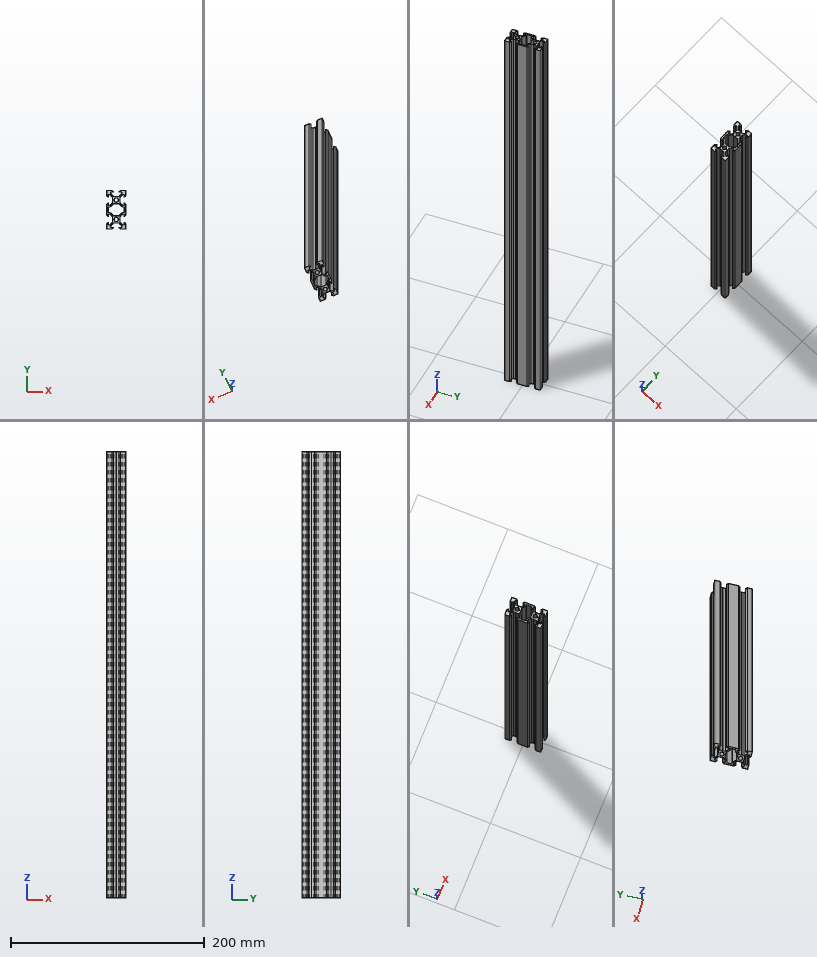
import cadquery as cq
import math

length = 460.0
cells_along_y = 2
cells_per_length = 23
cell = length / cells_per_length
half_cell = cell / 2
corner_radius = 0.5
bore_diameter = 4.2

wall_thickness = 1.8
land_depth = 0.5
throat_half_width = 3.1
mouth_half_width = 4.5
pocket_half_width = 5.5
core_half_width = 3.9
web_thickness = 1.5
groove_half_width = 0.2
groove_depth = 0.25
recess_half_width = 2.7

wall_inner = half_cell - wall_thickness
web_half_offset = web_thickness / 2 * math.sqrt(2)


def prism(points):
    """Full-length solid with the given outline."""
    return cq.Workplane("XY").polyline(points).close().extrude(length)


def slot(center_y, angle):
    """V-mouthed T-slot opening toward +X, turned by angle about its cell centre."""
    groove_bottom = (core_half_width - groove_depth, 0)
    upper_side = [
        (core_half_width, groove_half_width),
        (core_half_width, core_half_width - web_half_offset),
        (pocket_half_width + web_half_offset, pocket_half_width),
        (wall_inner, pocket_half_width),
        (wall_inner, throat_half_width),
        (wall_inner + land_depth, throat_half_width),
        (half_cell, mouth_half_width),
    ]
    lower_side = [(x, -y) for x, y in reversed(upper_side)]
    profile = prism([groove_bottom] + upper_side + lower_side)
    return profile.rotate((0, 0, 0), (0, 0, 1), angle).translate((0, center_y, 0))


def central_cavity():
    """Hollow between the cores: 45 degree web faces, then a square recess into each side wall."""
    top_y = half_cell - core_half_width
    web_reach = half_cell - web_half_offset
    upper_right = [
        (web_reach - top_y, top_y),
        (web_reach - recess_half_width, recess_half_width),
        (wall_inner, recess_half_width),
    ]
    lower_right = [(x, -y) for x, y in reversed(upper_right)]
    right_side = upper_right + lower_right
    left_side = [(-x, -y) for x, y in right_side]
    return prism(right_side + left_side)


def bore(center_y):
    """Round hole through the core of one cell."""
    return cq.Workplane("XY").center(0, center_y).circle(bore_diameter / 2).extrude(length)


bar = cq.Workplane("XY").rect(cell, cells_along_y * cell).extrude(length)
bar = bar.edges("|Z").fillet(corner_radius)
bar = bar.cut(central_cavity())

for end in (1, -1):
    cell_center_y = end * half_cell
    bar = bar.cut(bore(cell_center_y))
    for slot_angle in (0, end * 90, 180):
        bar = bar.cut(slot(cell_center_y, slot_angle))

result = bar